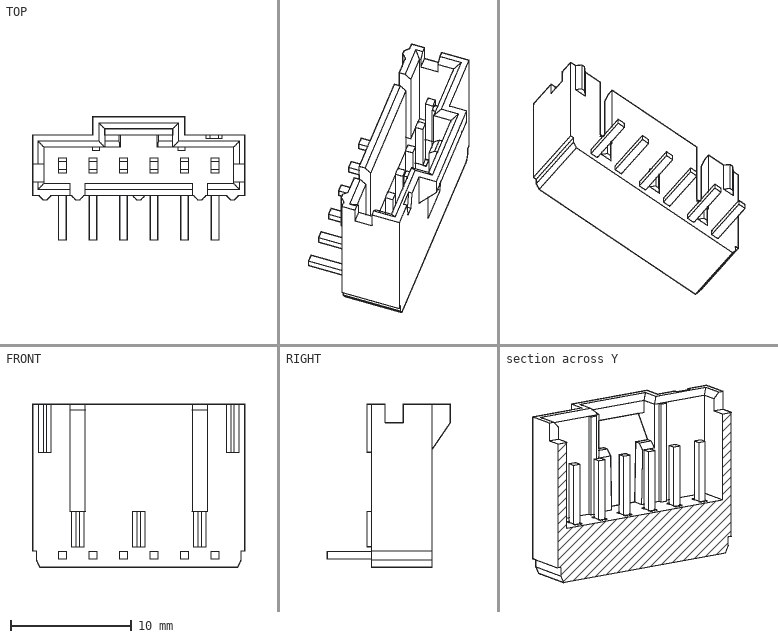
import cadquery as cq


length = 17.65
depth = 5.07
height = 13.59
foot_inset = 0.3
foot_height = 1.36
foot_chamfer_height = 0.62

end_wall = 0.94
long_wall = 1.02
floor_z = 4.66
lead_in = 0.5
cavity_length = length - 2 * end_wall

boss_width = 7.7
boss_projection = 1.52
boss_lip_height = 1.54
boss_height = 3.76
boss_bottom_z = height - boss_height
boss_inner_width = boss_width - 2 * long_wall
window_top_width = 3.25
window_floor_width = 3.04

guide_width = 0.56
guide_projection = 0.3

end_notch_front = 1.15
end_notch_width = 1.5
end_notch_depth = 1.54
front_slot_width = 1.24
key_center_x = 6.27
key_top_width = 1.3
key_bottom_width = 0.7
key_depth_y = 0.3
key_height = 1.76

pin_count = 6
pin_pitch = 2.55
pin_size = 0.65
pin_reach = 3.69
pin_leg_top_z = 1.35
pin_y = 2.52
pin_top_z = 9.7
pocket_depth_y = 1.24
pocket_depth = 0.07

rib_width = 1.05
rib_crest = 0.28
rib_projection = 0.37
upper_rib_x = 7.8
upper_rib_bottom_z = 9.58
lower_rib_bottom_z = 1.71

front_slot_x = 2 * pin_pitch


def block(x_center, x_size, y_min, y_max, z_min, z_max):
    """Axis-aligned box centred on x_center."""
    size = (x_size, y_max - y_min, z_max - z_min)
    return cq.Workplane("XY").box(*size, centered=(True, False, False)).translate((x_center, y_min, z_min))


def trapezoid_xz(x_center, bottom_width, top_width, y_min, y_max, z_min, z_max):
    """Prism along Y whose width changes from bottom to top."""
    outline = [
        (x_center - bottom_width / 2, z_min),
        (x_center + bottom_width / 2, z_min),
        (x_center + top_width / 2, z_max),
        (x_center - top_width / 2, z_max),
    ]
    return cq.Workplane("XZ", origin=(0, y_max, 0)).polyline(outline).close().extrude(y_max - y_min)


def make_housing():
    half = length / 2
    foot_half = half - foot_inset
    base_half = foot_half - foot_inset
    right_side = [
        (base_half, 0),
        (foot_half, foot_chamfer_height),
        (foot_half, foot_height),
        (half, foot_height),
        (half, height),
    ]
    left_side = [(-x, z) for x, z in reversed(right_side)]
    return cq.Workplane("XZ").polyline(right_side + left_side).close().extrude(-depth)


def make_boss():
    rear = depth + boss_projection
    profile = [
        (depth - long_wall, height),
        (rear, height),
        (rear, height - boss_lip_height),
        (depth, boss_bottom_z),
        (depth - long_wall, boss_bottom_z),
    ]
    boss = cq.Workplane("YZ").polyline(profile).close().extrude(boss_width / 2, both=True)
    rear_opening = block(
        0, boss_inner_width, depth - long_wall, rear, boss_bottom_z, height - boss_lip_height
    )
    return boss.cut(rear_opening)


def mouth_outline(plane, offset):
    """T-shaped cavity outline, grown outwards by offset."""
    half = cavity_length / 2 + offset
    boss_half = boss_inner_width / 2 + offset
    front = long_wall - offset
    back = depth - long_wall + offset
    boss_back = back + boss_projection
    points = [
        (-half, front),
        (half, front),
        (half, back),
        (boss_half, back),
        (boss_half, boss_back),
        (-boss_half, boss_back),
        (-boss_half, back),
        (-half, back),
    ]
    return plane.polyline(points).close()


def make_cavity():
    cavity = block(0, cavity_length, long_wall, depth - long_wall, floor_z, height)
    boss_back = depth - long_wall + boss_projection
    boss_void = block(0, boss_inner_width, long_wall, boss_back, boss_bottom_z, height)
    mouth_plane = cq.Workplane("XY", origin=(0, 0, height - lead_in))
    lower = mouth_outline(mouth_plane, 0).wires().val()
    upper = mouth_outline(cq.Workplane("XY", origin=(0, 0, height)), lead_in).wires().val()
    funnel = cq.Workplane(obj=cq.Solid.makeLoft([lower, upper], True))
    return cavity.union(boss_void).union(funnel)


def make_rear_window():
    """Central gap in the rear wall, with the wall top beside it bevelled inwards."""
    inner = depth - long_wall
    gap = trapezoid_xz(0, window_floor_width, window_top_width, inner, depth, floor_z, boss_bottom_z)
    bevel = (
        cq.Workplane("YZ")
        .polyline([
            (inner, boss_bottom_z - lead_in),
            (inner + lead_in, boss_bottom_z),
            (inner, boss_bottom_z),
        ])
        .close()
        .extrude(boss_inner_width / 2, both=True)
    )
    return gap.union(bevel)


def make_standoff_rib(x_center, z_min, z_max):
    outline = [
        (x_center - rib_width / 2, 0),
        (x_center - rib_crest / 2, -rib_projection),
        (x_center + rib_crest / 2, -rib_projection),
        (x_center + rib_width / 2, 0),
    ]
    return cq.Workplane("XY", origin=(0, 0, z_min)).polyline(outline).close().extrude(z_max - z_min)


def make_pin(x):
    leg_bottom_z = pin_leg_top_z - pin_size
    leg = block(x, pin_size, -pin_reach, pin_y, leg_bottom_z, pin_leg_top_z)
    post = block(x, pin_size, pin_y - pin_size / 2, pin_y + pin_size / 2, leg_bottom_z, pin_top_z)
    return leg.union(post)


def make_pin_pocket(x):
    front = pin_y - pocket_depth_y / 2
    return block(x, pin_size, front, front + pocket_depth_y, floor_z - pocket_depth, floor_z)


def make_end_notches():
    back = end_notch_front + end_notch_width
    return block(0, length, end_notch_front, back, height - end_notch_depth, height)


def make_guide_rib(side):
    x = side * (boss_width - guide_width) / 2
    back = depth - long_wall
    return block(x, guide_width, back - guide_projection, back, floor_z, height - lead_in)


def make_polarity_notch():
    front = depth - key_depth_y
    bottom_z = height - key_height
    return trapezoid_xz(key_center_x, key_bottom_width, key_top_width, front, depth, bottom_z, height)


result = make_housing().union(make_boss())
result = result.cut(make_cavity())
result = result.cut(make_rear_window())
result = result.cut(make_end_notches())
result = result.cut(make_polarity_notch())

for side in (-1, 1):
    result = result.cut(block(side * front_slot_x, front_slot_width, 0, long_wall, floor_z, height))
    result = result.union(make_guide_rib(side))

for x in (-upper_rib_x, upper_rib_x):
    result = result.union(make_standoff_rib(x, upper_rib_bottom_z, height))
for x in (-front_slot_x, 0, front_slot_x):
    result = result.union(make_standoff_rib(x, lower_rib_bottom_z, floor_z))

for i in range(pin_count):
    x = (i - (pin_count - 1) / 2) * pin_pitch
    result = result.cut(make_pin_pocket(x))
    result = result.union(make_pin(x))